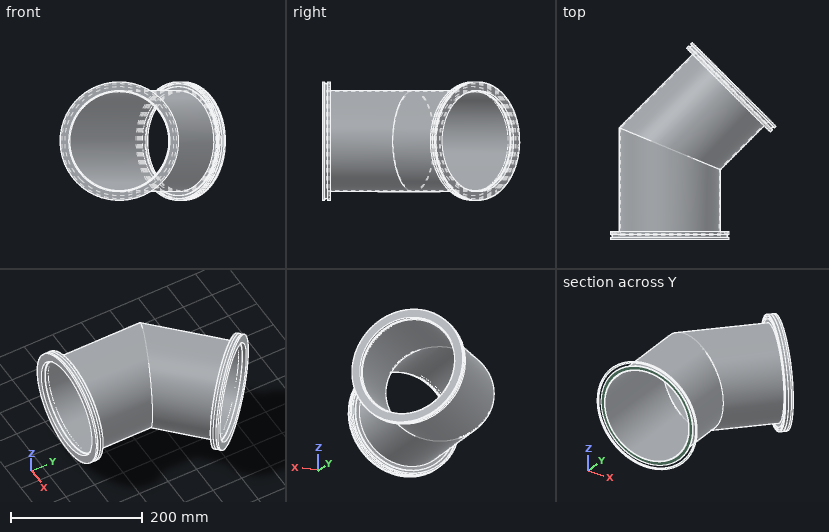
import cadquery as cq
import math

overall_length = 299.0
bend_angle = 45.0

flange_radius = 90.0
flange_thickness = 12.0
rim_groove_start = 3.0
rim_groove_width = 4.5
rim_groove_depth = 2.7
back_groove_inner_radius = 82.8
back_groove_outer_radius = 87.3
back_groove_depth = 2.5

pipe_outer_radius = 76.8
pipe_wall = 1.8
pipe_setback = 6.0

bend = math.radians(bend_angle)
pipe_inner_radius = pipe_outer_radius - pipe_wall
leg_length = (overall_length - flange_radius * math.sin(bend)) / (1 + math.cos(bend))
pipe_leg = leg_length - pipe_setback

leg_directions = [
    cq.Vector(0, 1, 0),
    cq.Vector(-math.sin(bend), -math.cos(bend), 0),
]


def make_flange(inward):
    """Ring whose sealing face lies one leg length from the bend."""
    groove_end = rim_groove_start + rim_groove_width
    groove_middle = rim_groove_start + rim_groove_width / 2
    face_plane = cq.Plane(origin=inward * -leg_length, xDir=(0, 0, 1), normal=inward)

    section_plane = cq.Plane(
        origin=face_plane.origin,
        xDir=face_plane.xDir,
        normal=face_plane.xDir.cross(inward),
    )
    ring = (
        cq.Workplane(section_plane)
        .moveTo(pipe_outer_radius, 0)
        .lineTo(flange_radius, 0)
        .lineTo(flange_radius, rim_groove_start)
        .threePointArc(
            (flange_radius - rim_groove_depth, groove_middle),
            (flange_radius, groove_end),
        )
        .lineTo(flange_radius, flange_thickness)
        .lineTo(pipe_outer_radius, flange_thickness)
        .close()
        .revolve(360, (0, 0, 0), (0, 1, 0))
    )

    back_groove = (
        cq.Workplane(face_plane)
        .workplane(offset=flange_thickness - back_groove_depth)
        .circle(back_groove_outer_radius)
        .circle(back_groove_inner_radius)
        .extrude(back_groove_depth)
    )
    return ring.cut(back_groove)


def make_elbow():
    """Mitred pipe whose ends sit inside the two flange bores."""
    first_end, second_end = [direction * -pipe_leg for direction in leg_directions]
    centreline = cq.Workplane("XY").polyline(
        [first_end.toTuple(), (0, 0, 0), second_end.toTuple()]
    )
    end_plane = cq.Plane(origin=first_end, xDir=(0, 0, 1), normal=leg_directions[0])
    return (
        cq.Workplane(end_plane)
        .circle(pipe_outer_radius)
        .circle(pipe_inner_radius)
        .sweep(centreline, transition="right")
    )


elbow = make_elbow()
flanges = [make_flange(direction) for direction in leg_directions]

result = cq.Compound.makeCompound([elbow.val(), *[flange.val() for flange in flanges]])